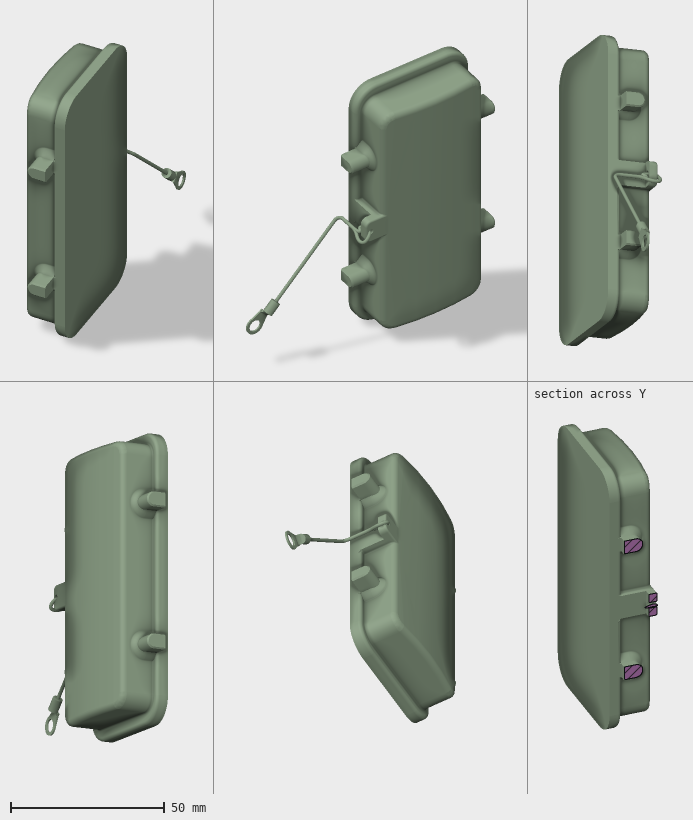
import cadquery as cq
import math


flange_width = 45.0
flange_height = 97.4
flange_thickness = 4.15
flange_corner_radius = 8.5
flange_edge_radius = 1.1
flange_front = -flange_thickness
flange_side = flange_width / 2

body_width = 40.0
body_height = 89.6
body_corner_radius = 5.0
body_edge_radius = 2.0
crown_x = -17.6
crown_radius = 97.0
body_side = body_width / 2

pin_pitch = 47.5
pin_span = 57.0
pin_radius = 2.5
pin_axis_x = -8.35
pin_chamfer = 0.5
skirt_radius = 4.9
skirt_axis_x = -7.6
skirt_taper = 45.0

tab_width = 8.5
tab_tip_y = 26.5
tab_front = -15.9
tab_thickness = 3.0
tab_corner_radius = 2.0
tab_edge_radius = 0.6
tab_hole_diameter = 1.9
tab_hole_y = 24.6
tab_root_y = 18.0

root_radius = 0.5
margin = 0.1

tether_angle = 45.0
cable_radius = 0.6
cable_x = -0.3
cable_bend_radius = 2.5
lead_offset = 3.0
loop_join_x = -8.0
loop_overlap = 0.7
loop_tip = (-16.5, 3.0)
loop_outer_points = [(-11.0, 3.6), (-13.8, 4.8)]
loop_inner_points = [(-15.5, 0.6), (-13.0, 0.5), (-11.0, 1.3)]
ring_radius = 3.25
ring_hole_diameter = 4.3
ring_thickness = 0.6
overall_depth = 18.97
ring_back = crown_x + overall_depth
ring_center_y = 59.12
barrel_radius = 1.7
barrel_start = 5.9
barrel_end = 10.6
neck_start = 4.9
neck_width = 3.8
ring_distance = (ring_center_y - tab_hole_y) / math.cos(math.radians(tether_angle))


def rounded_block(x_min, x_max, width, height, corner_radius):
    """Block along X, centred on Y and Z, with rounded edges parallel to X."""
    block = cq.Workplane("YZ", origin=(x_min, 0, 0)).rect(width, height).extrude(x_max - x_min)
    return block.edges("|X").fillet(corner_radius)


def make_flange():
    flange = rounded_block(flange_front, 0, flange_width, flange_height, flange_corner_radius)
    return flange.faces("<X").edges().fillet(flange_edge_radius)


def make_body():
    """Rounded block whose front is a shallow cylinder with its axis along Z."""
    block = rounded_block(crown_x, 0, body_width, body_height, body_corner_radius)
    crown = (
        cq.Workplane("XY", origin=(0, 0, -body_height / 2))
        .center(crown_x + crown_radius, 0)
        .circle(crown_radius)
        .extrude(body_height)
    )
    return block.intersect(crown).faces("<X").edges().fillet(body_edge_radius)


def u_profile(radius, axis_x, end_x, start_y):
    """U outline normal to Y, round toward -X and closed by a straight side at end_x."""
    return (
        cq.Workplane("XZ", origin=(0, start_y, 0))
        .moveTo(end_x, -radius)
        .lineTo(axis_x, -radius)
        .threePointArc((axis_x - radius, 0), (axis_x, radius))
        .lineTo(end_x, radius)
        .close()
    )


def make_pin():
    """Pin on the -Y side at Z = 0, with its tapered skirt on the body wall."""
    pin_end = pin_span / 2
    pin = u_profile(pin_radius, pin_axis_x, flange_front, 0).extrude(pin_end)
    pin = pin.faces("<Y").edges("not >X").chamfer(pin_chamfer)
    infill_x = flange_front + flange_edge_radius
    infill = u_profile(pin_radius, pin_axis_x, infill_x, 0).extrude(flange_side)
    skirt_rise = flange_side - body_side
    skirt = u_profile(skirt_radius, skirt_axis_x, 0, -body_side).extrude(skirt_rise, taper=skirt_taper)
    beyond_flange = cq.Workplane("XY").box(
        -flange_front, flange_width, 4 * skirt_radius, centered=(False, True, True)
    )
    skirt = skirt.cut(beyond_flange.translate((flange_front, 0, 0)))
    return pin.union(infill).union(skirt)


def make_pins():
    pin = make_pin()
    row = pin.translate((0, 0, pin_pitch / 2)).union(pin.translate((0, 0, -pin_pitch / 2)))
    return row.union(row.mirror("XZ"))


def make_tab():
    """Plate with a tether hole, carried by a web that runs back to the flange."""
    plate = (
        cq.Workplane("YZ", origin=(tab_front, 0, 0))
        .center((tab_root_y + tab_tip_y) / 2, 0)
        .rect(tab_tip_y - tab_root_y, tab_width)
        .extrude(tab_thickness)
        .edges("|X and >Y")
        .fillet(tab_corner_radius)
    )
    plate = plate.faces("<X").edges("not <Y").fillet(tab_edge_radius)
    web_start = tab_front + tab_thickness / 2
    web = (
        cq.Workplane("YZ", origin=(web_start, 0, 0))
        .center((tab_root_y + flange_side) / 2, 0)
        .rect(flange_side - tab_root_y, tab_width)
        .extrude(flange_front + flange_edge_radius - web_start)
    )
    hole = (
        cq.Workplane("YZ", origin=(tab_front, tab_hole_y, 0))
        .circle(tab_hole_diameter / 2)
        .extrude(tab_thickness)
    )
    return plate.union(web).cut(hole)


def make_cover():
    """Flange, body, pins and tab, with fillets where they meet the body wall and the flange."""
    cover = make_flange().union(make_body()).union(make_pins()).union(make_tab())
    skirt_front = skirt_axis_x - skirt_radius
    body_root = cq.selectors.BoxSelector(
        (skirt_front - margin, -body_side - margin, -body_height / 2 - margin),
        (flange_front + margin, body_side + margin, body_height / 2 + margin),
        boundingbox=True,
    )
    web_root = cq.selectors.BoxSelector(
        (tab_front + tab_thickness / 2, tab_root_y, -tab_width / 2 - margin),
        (flange_front + margin, flange_side - margin, tab_width / 2 + margin),
        boundingbox=True,
    )
    return cover.edges(body_root).fillet(root_radius).edges(web_root).fillet(root_radius)


def swept_cable(path):
    """Round cable along a wire."""
    start_plane = cq.Plane(origin=path.startPoint(), normal=path.tangentAt(0))
    return cq.Workplane(start_plane).circle(cable_radius).sweep(cq.Workplane(path))


def make_cable():
    """Cable from the barrel, round a bend, then looped through the tab hole and back to itself."""
    bend_y = lead_offset + cable_bend_radius
    bend_x = cable_x - cable_bend_radius
    lead = (
        cq.Workplane("XY")
        .moveTo(cable_x, ring_distance - barrel_start)
        .lineTo(cable_x, bend_y)
        .radiusArc((bend_x, lead_offset), cable_bend_radius)
        .lineTo(loop_join_x, lead_offset)
    )
    outer_path = lead.spline(
        loop_outer_points + [loop_tip], tangents=[(-1, 0), (0, -1)], includeCurrent=True
    )
    inner_path = (
        cq.Workplane("XY")
        .moveTo(*loop_tip)
        .spline(
            loop_inner_points + [(loop_join_x + loop_overlap, lead_offset)],
            tangents=[(0, -1), (1, 0)],
            includeCurrent=True,
        )
    )
    return swept_cable(outer_path.wire().val()).union(swept_cable(inner_path.wire().val()))


def make_ring_terminal():
    """Flat ring, tapered neck, sloped transition and round crimp barrel."""
    ring_front = ring_back - ring_thickness
    barrel_y = ring_distance - barrel_start
    neck_y = ring_distance - neck_start
    plate = (
        cq.Workplane("XY", origin=(ring_front, ring_distance, 0))
        .transformed(rotate=(0, 90, 0))
        .circle(ring_radius)
        .extrude(ring_thickness)
    )
    neck = (
        cq.Workplane("YZ", origin=(ring_front, 0, 0))
        .moveTo(ring_distance, -ring_radius)
        .lineTo(ring_distance, ring_radius)
        .lineTo(neck_y, neck_width / 2)
        .lineTo(barrel_y, neck_width / 2)
        .lineTo(barrel_y, -neck_width / 2)
        .lineTo(neck_y, -neck_width / 2)
        .close()
        .extrude(ring_thickness)
    )
    hole = (
        cq.Workplane("YZ", origin=(ring_front, ring_distance, 0))
        .circle(ring_hole_diameter / 2)
        .extrude(ring_thickness)
    )
    transition = (
        cq.Workplane("XY")
        .moveTo(ring_front, neck_y)
        .lineTo(cable_x, barrel_y)
        .lineTo(ring_front, barrel_y)
        .close()
        .extrude(barrel_radius, both=True)
    )
    barrel = (
        cq.Workplane("XZ", origin=(ring_back - barrel_radius, barrel_y, 0))
        .circle(barrel_radius)
        .extrude(barrel_end - barrel_start)
    )
    return plate.union(neck).cut(hole).union(transition).union(barrel)


def make_tether():
    tether = make_ring_terminal().union(make_cable())
    turned = tether.rotate((0, 0, 0), (1, 0, 0), -tether_angle)
    return turned.translate((0, tab_hole_y, 0))


result = make_cover().union(make_tether())